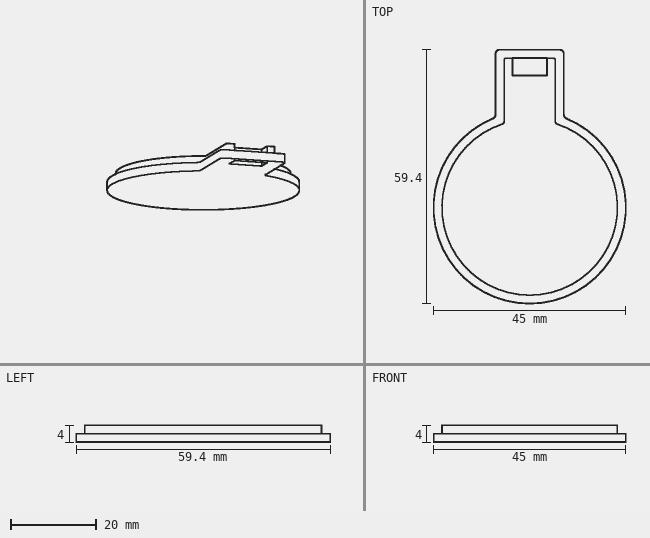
import cadquery as cq

disc_radius = 22.5
tab_width = 16.0
tab_reach = 36.87
layer_height = 2.0
rim = 2.0
base_corner_radius = 1.0
plateau_corner_radius = 0.5
slot_width = 8.0
slot_length = 4.0

plateau_reach = tab_reach - rim
total_height = 2 * layer_height


def tabbed_disc(radius, width, reach, corner_radius):
    """One layer: a disc with a straight tab, rounded at the tab ends and disc junctions."""
    disc = cq.Workplane("XY").circle(radius).extrude(layer_height)
    tab = cq.Workplane("XY").center(0, reach / 2).rect(width, reach).extrude(layer_height)
    tab_corners = cq.selectors.BoxSelector((-width, radius / 2, 0), (width, 2 * reach, layer_height))
    return disc.union(tab).edges("|Z").edges(tab_corners).fillet(corner_radius)


def strap_slot():
    """Rectangular through slot whose far side is flush with the end of the plateau."""
    slot_centre_y = plateau_reach - slot_length / 2
    return cq.Workplane("XY").center(0, slot_centre_y).rect(slot_width, slot_length).extrude(total_height)


base = tabbed_disc(disc_radius, tab_width, tab_reach, base_corner_radius)
plateau = tabbed_disc(
    disc_radius - rim,
    tab_width - 2 * rim,
    plateau_reach,
    plateau_corner_radius,
).translate((0, 0, layer_height))

result = base.union(plateau).cut(strap_slot())